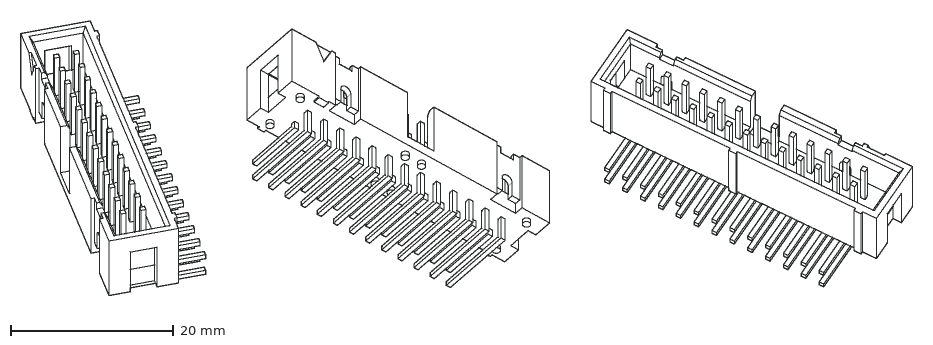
import cadquery as cq


length = 40.6
depth = 8.9
height = 8.9
floor_height = 2.55
side_wall = 1.25
end_wall = 1.2
lead_in_width = 0.4
lead_in_height = 0.7

columns = 13
row_span = 30.5
pitch = row_span / (columns - 1)
pin_width = 0.65
pin_tip_z = height - 0.2
pin_tail_y = 13.7
pin_bottom_z = -3.6
first_column_x = -row_span / 2

key_width = 4.1
key_depth = 2.1
key_bottom_z = 1.42

latch_centers = (-4.5 * pitch, 5.5 * pitch)
recess_width = 3.95
recess_depth = 0.45
top_notch_width = 2.0
top_notch_depth = 0.97
arch_width = 1.55
arch_top_z = 4.65
foot_height = 1.65

window_width = 3.4
window_top_z = 6.45

mark_width = 2.5
mark_height = 2.55
mark_depth = 0.3
pad_width = 1.5
pad_depth = 1.0
pad_height = 0.25

end_offset = 17.82
peg_diameter = 1.0
peg_height = 0.6
peg_inset = 1.45
rib_width = 1.0
rib_depth = 0.35


def block(x_range, y_range, z_range):
    """Axis-aligned box between the given limits."""
    size = [end - start for start, end in (x_range, y_range, z_range)]
    corner = (x_range[0], y_range[0], z_range[0])
    return cq.Workplane("XY").box(*size, centered=False).translate(corner)


def centered_block(center_x, width, y_range, z_range):
    """Box that is centred on a given X position."""
    return block((center_x - width / 2, center_x + width / 2), y_range, z_range)


def shell():
    """Open-topped housing with a sloped lead-in around the mouth."""
    outer = centered_block(0, length, (0, depth), (0, height))
    inner_length = length - 2 * end_wall
    inner_depth = depth - 2 * side_wall
    cavity = centered_block(0, inner_length, (side_wall, depth - side_wall), (floor_height, height))
    mouth = (
        cq.Workplane("XY", origin=(0, depth / 2, height - lead_in_height))
        .rect(inner_length, inner_depth)
        .workplane(offset=lead_in_height)
        .rect(inner_length + 2 * lead_in_width, inner_depth + 2 * lead_in_width)
        .loft(ruled=True)
    )
    return outer.cut(cavity).cut(mouth)


def key_slot():
    return centered_block(0, key_width, (0, key_depth), (key_bottom_z, height))


def latch_cut(center_x):
    """Shallow full-height recess with a top notch and an arched opening over a wide foot."""
    arch_radius = arch_width / 2
    arch_center_z = arch_top_z - arch_radius
    recess = centered_block(center_x, recess_width, (0, recess_depth), (0, height))
    notch = centered_block(center_x, top_notch_width, (0, side_wall), (height - top_notch_depth, height))
    foot = centered_block(center_x, recess_width, (0, side_wall), (0, foot_height))
    arch = (
        cq.Workplane("XZ")
        .moveTo(center_x - arch_radius, 0)
        .lineTo(center_x - arch_radius, arch_center_z)
        .threePointArc((center_x, arch_top_z), (center_x + arch_radius, arch_center_z))
        .lineTo(center_x + arch_radius, 0)
        .close()
        .extrude(-side_wall)
    )
    return recess.union(notch).union(foot).union(arch)


def end_window(side):
    """Opening through one end wall, running down to the underside."""
    center_x = side * (length - end_wall) / 2
    y_range = ((depth - window_width) / 2, (depth + window_width) / 2)
    return centered_block(center_x, end_wall, y_range, (0, window_top_z))


def first_contact_mark():
    """Engraved triangle that points down at the first column."""
    return (
        cq.Workplane("XZ")
        .moveTo(first_column_x - mark_width / 2, height)
        .lineTo(first_column_x + mark_width / 2, height)
        .lineTo(first_column_x, height - mark_height)
        .close()
        .extrude(-mark_depth)
    )


def first_contact_pad():
    return centered_block(first_column_x, pad_width, (0, pad_depth), (-pad_height, 0))


def pin(center_x, center_y, bottom_z):
    """Square pin that stands in the cavity and bends to the rear below the housing."""
    front_y = center_y - pin_width / 2
    post = centered_block(center_x, pin_width, (front_y, front_y + pin_width), (bottom_z, pin_tip_z))
    tail = centered_block(center_x, pin_width, (front_y, pin_tail_y), (bottom_z, bottom_z + pin_width))
    return post.union(tail)


def pegs():
    positions = [
        (x, y)
        for x in (-end_offset, -pitch / 2, pitch / 2, end_offset)
        for y in (peg_inset, depth - peg_inset)
    ]
    return cq.Workplane("XY").pushPoints(positions).circle(peg_diameter / 2).extrude(-peg_height)


def rear_rib(center_x):
    return centered_block(center_x, rib_width, (depth, depth + rib_depth), (0, height))


result = shell().cut(key_slot()).cut(first_contact_mark())
for latch_x in latch_centers:
    result = result.cut(latch_cut(latch_x))
for end in (-1, 1):
    result = result.cut(end_window(end))

result = result.union(first_contact_pad()).union(pegs())
for rib_x in (-end_offset, 0, end_offset):
    result = result.union(rear_rib(rib_x))

for column in range(columns):
    column_x = first_column_x + column * pitch
    result = result.union(pin(column_x, (depth - pitch) / 2, pin_bottom_z))
    result = result.union(pin(column_x, (depth + pitch) / 2, pin_bottom_z + pitch))